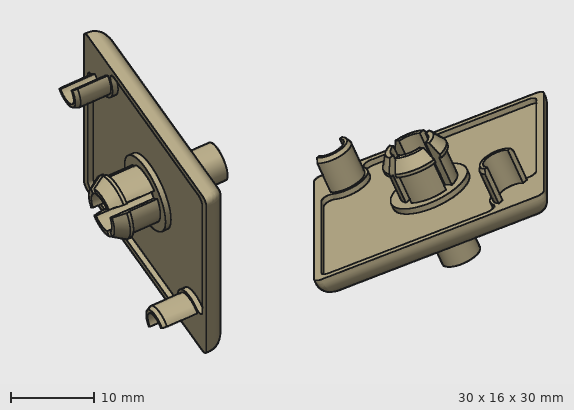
import cadquery as cq
import math

SIDE = 30.0
PLATE_THICKNESS = 3.0
CORNER_RADIUS = 1.0
STRAIGHT_EDGE = 0.5
BACK_ROUND = PLATE_THICKNESS - STRAIGHT_EDGE

RIM_WIDTH = 1.0
RECESS_DEPTH = 0.75
RECESS_CORNER_RADIUS = 1.0
BOSS_RADIUS = 5.0

POST_OFFSET = 10.95
POST_RADIUS = 2.6
POST_BORE_RADIUS = 1.9
POST_LENGTH = 4.75
POST_CHAMFER_LENGTH = 0.57
POST_CHAMFER_WIDTH = 0.3
POST_PAD_RADIUS = 3.0

SLEEVE_RADIUS = 3.75
SLEEVE_LENGTH = 6.0
BARB_RADIUS = 4.17
BARB_START = 3.93
BARB_LAND = 0.45
TIP_RADIUS = 3.15
SLOT_WIDTH = 1.05

PIN_RADIUS = 2.5
PIN_BACK_LENGTH = 7.0
PIN_CHAMFER = 0.5
PIN_TIP_DEPTH = 1.5


def towards_front(profile, start, end):
    """Extrude a closed XZ workplane profile from Y = -start to Y = -end."""
    return profile.extrude(end - start).translate((0, -start, 0))


def cylinder(radius, start, end, x=0.0, z=0.0):
    """Cylinder along Y between two distances in front of the inner face."""
    return towards_front(cq.Workplane("XZ").center(x, z).circle(radius), start, end)


def make_plate():
    """Square plate with rounded corners and a large round around its back."""
    half = SIDE / 2
    flat = half - BACK_ROUND
    arc_x = flat + BACK_ROUND * math.sqrt(0.5)
    arc_y = STRAIGHT_EDGE + BACK_ROUND * math.sqrt(0.5)
    bar = (
        cq.Workplane("XY")
        .moveTo(-half, 0)
        .lineTo(half, 0)
        .lineTo(half, STRAIGHT_EDGE)
        .threePointArc((arc_x, arc_y), (flat, PLATE_THICKNESS))
        .lineTo(-flat, PLATE_THICKNESS)
        .threePointArc((-arc_x, arc_y), (-half, STRAIGHT_EDGE))
        .close()
        .extrude(half, both=True)
    )
    plate = bar.intersect(bar.rotate((0, 0, 0), (0, 1, 0), 90))
    return plate.edges("|Y").fillet(CORNER_RADIUS)


def make_recess():
    """Shallow pocket that leaves the rim, two corner pads and the centre boss."""
    edge = SIDE / 2 - RIM_WIDTH
    corner_centre = edge - RECESS_CORNER_RADIUS
    corner_middle = corner_centre + RECESS_CORNER_RADIUS * math.sqrt(0.5)
    pad_middle = POST_OFFSET - POST_PAD_RADIUS * math.sqrt(0.5)

    reach = POST_PAD_RADIUS + RECESS_CORNER_RADIUS
    outward = corner_centre - POST_OFFSET
    inward = math.sqrt(reach**2 - outward**2)
    round_start = POST_OFFSET - inward
    join_far = POST_OFFSET + outward * POST_PAD_RADIUS / reach
    join_near = POST_OFFSET - inward * POST_PAD_RADIUS / reach
    half_sweep = math.atan2(inward, -outward) / 2
    mid_far = corner_centre + RECESS_CORNER_RADIUS * math.cos(half_sweep)
    mid_near = round_start + RECESS_CORNER_RADIUS * math.sin(half_sweep)

    outline = cq.Workplane("XZ").moveTo(-edge, -corner_centre)
    for side in (-1, 1):
        outline = (
            outline.lineTo(side * edge, -side * round_start)
            .threePointArc((side * mid_far, -side * mid_near), (side * join_far, -side * join_near))
            .threePointArc((side * pad_middle, -side * pad_middle), (side * join_near, -side * join_far))
            .threePointArc((side * mid_near, -side * mid_far), (side * round_start, -side * edge))
            .lineTo(-side * corner_centre, -side * edge)
            .threePointArc(
                (-side * corner_middle, -side * corner_middle), (-side * edge, -side * corner_centre)
            )
        )
    pocket = towards_front(outline.close(), -RECESS_DEPTH, 0)
    return pocket.cut(cylinder(BOSS_RADIUS, -RECESS_DEPTH, 0))


def make_post(side):
    """Half-round hollow post, open towards its plate corner, with a chamfered end."""
    shoulder = POST_LENGTH - POST_CHAMFER_LENGTH
    tip = POST_RADIUS - POST_CHAMFER_WIDTH
    wall = (
        cq.Workplane("XY")
        .moveTo(POST_BORE_RADIUS, 0)
        .lineTo(POST_RADIUS, 0)
        .lineTo(POST_RADIUS, -shoulder)
        .lineTo(tip, -POST_LENGTH)
        .lineTo(POST_BORE_RADIUS, -POST_LENGTH)
        .close()
        .revolve(180, (0, 0, 0), (0, 1, 0))
    )
    facing = 135 if side > 0 else -45
    post = wall.rotate((0, 0, 0), (0, 1, 0), facing)
    return post.translate((side * POST_OFFSET, 0, -side * POST_OFFSET))


def make_sleeve():
    """Barbed tube split into four fingers by diagonal slots."""
    sleeve = (
        cq.Workplane("XY")
        .moveTo(PIN_RADIUS, 0)
        .lineTo(SLEEVE_RADIUS, 0)
        .lineTo(SLEEVE_RADIUS, -BARB_START)
        .lineTo(BARB_RADIUS, -BARB_START)
        .lineTo(BARB_RADIUS, -BARB_START - BARB_LAND)
        .lineTo(TIP_RADIUS, -SLEEVE_LENGTH)
        .lineTo(PIN_RADIUS, -SLEEVE_LENGTH)
        .close()
        .revolve(360, (0, 0, 0), (0, 1, 0))
    )
    for angle in (45, 135):
        slot_profile = cq.Workplane("XZ").rect(2 * BARB_RADIUS, SLOT_WIDTH)
        slot = towards_front(slot_profile, 0, SLEEVE_LENGTH)
        sleeve = sleeve.cut(slot.rotate((0, 0, 0), (0, 1, 0), angle))
    return sleeve


def make_bore():
    """Space in front of the pin: a blind bore whose floor is the pin's chamfered tip."""
    return (
        cq.Workplane("XY")
        .lineTo(PIN_RADIUS, 0)
        .lineTo(PIN_RADIUS, PIN_TIP_DEPTH + PIN_CHAMFER)
        .lineTo(PIN_RADIUS - PIN_CHAMFER, PIN_TIP_DEPTH)
        .lineTo(0, PIN_TIP_DEPTH)
        .close()
        .revolve(360, (0, 0, 0), (0, 1, 0))
    )


def make_pin():
    """Part of the pin that stands out behind the plate."""
    return cylinder(PIN_RADIUS, -PLATE_THICKNESS - PIN_BACK_LENGTH, -PLATE_THICKNESS)


result = make_plate().cut(make_recess()).cut(make_bore())
result = result.union(make_pin()).union(make_sleeve())
for side in (-1, 1):
    result = result.union(make_post(side))